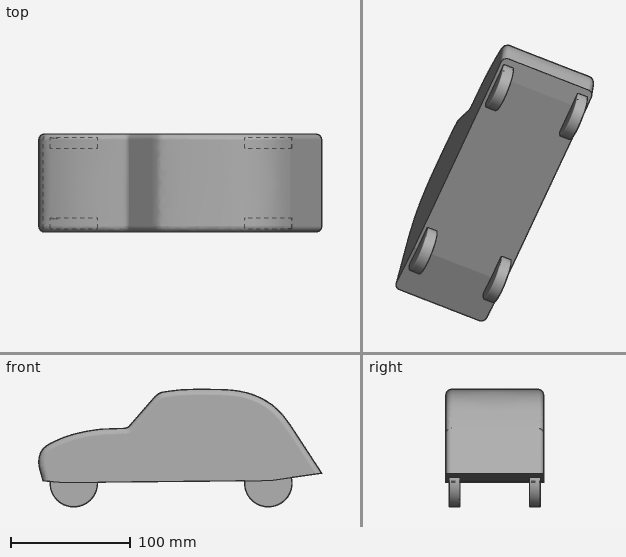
import cadquery as cq

length = 236.2
body_width = 82.0
height = 98.2
edge_radius = 5.0

nose_bottom = (3.5, 21.7)
belly_front = (21.3, 20.3)
belly_rear = (193.2, 22.0)
tail_tip = (length, 28.0)

roof_rear = (210.5, 67.5)
windscreen_top = (95.0, 89.7)
windscreen_bottom = (75.5, 67.5)
hood_rear = (70.5, 65.6)

roof_points = [(194.5, 85.3), (173.3, 95.5), (139.3, height), (118.0, 97.8), (105.0, 96.0)]
hood_points = [(49.5, 64.7), (32.5, 61.6), (10.5, 53.4), (2.8, 47.5), (0.0, 37.8)]

wheel_radius = 19.8
wheel_thickness = 9.2
wheel_inset = 2.8
wheel_edge_radius = 1.0
wheel_centers_x = (29.3, 191.5)


def direction(start, end):
    return (end[0] - start[0], end[1] - start[1])


def make_body():
    tail_slope = direction(tail_tip, roof_rear)
    windscreen_slope = direction(windscreen_top, windscreen_bottom)
    nose_slope = direction(hood_points[-1], nose_bottom)
    forward = (-1, 0)
    profile = (
        cq.Workplane("XZ", origin=(0, body_width / 2, 0))
        .moveTo(*nose_bottom)
        .lineTo(*belly_front)
        .lineTo(*belly_rear)
        .lineTo(*tail_tip)
        .lineTo(*roof_rear)
        .spline(roof_points + [windscreen_top], tangents=[tail_slope, windscreen_slope], includeCurrent=True)
        .lineTo(*windscreen_bottom)
        .spline([hood_rear], tangents=[windscreen_slope, forward], includeCurrent=True)
        .spline(hood_points + [nose_bottom], tangents=[forward, nose_slope], includeCurrent=True)
        .close()
    )
    body = profile.extrude(body_width)
    upper_faces = [
        face
        for face in body.faces("not |Y").vals()
        if face.normalAt().z > 0 or face.BoundingBox().xmin < nose_bottom[0] - edge_radius / 2
    ]
    side_edges = cq.Workplane(obj=upper_faces[0]).newObject(upper_faces).edges("not |Y").vals()
    return body.newObject(side_edges).fillet(edge_radius)


def make_wheel(center_x, side):
    center_y = side * (body_width / 2 - wheel_inset - wheel_thickness / 2)
    return (
        cq.Workplane("XZ", origin=(center_x, center_y + wheel_thickness / 2, wheel_radius))
        .circle(wheel_radius)
        .extrude(wheel_thickness)
        .edges()
        .fillet(wheel_edge_radius)
    )


result = make_body()
for wheel_x in wheel_centers_x:
    for wheel_side in (-1, 1):
        result = result.union(make_wheel(wheel_x, wheel_side))